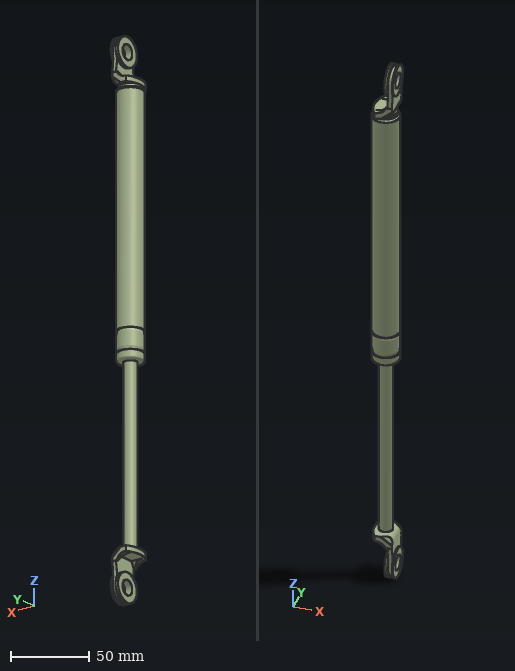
import cadquery as cq
import math

TOTAL_LENGTH = 385.0
EYE_RADIUS = 10.5
BASE_HEIGHT = 34.5

TUBE_RADIUS = 9.2
TUBE_BOTTOM = 163.0
TUBE_TOP = 348.5
TUBE_TOP_CHAMFER = 1.5
TUBE_BOTTOM_FILLET = 1.5
NECK_RADIUS = 7.7
GROOVE_DEPTH = 0.58
GROOVE_WIDTH = 2.5
LOWER_STEP_HEIGHT = 169.0
UPPER_STEP_HEIGHT = 184.0
ROD_RADIUS = 4.5
ROD_SOCKET_DEPTH = 19.2

SHEET = 4.0
PLATE_THICKNESS = 3.0
BASE_WIDTH = 22.0
BASE_BACK_X = -7.7
BASE_CORNER_X = -4.2
BASE_TAPER_X = 0.0
PLATE_OUTER_X = 7.5
PLATE_INNER_X = PLATE_OUTER_X - PLATE_THICKNESS
CHEEK_RADIUS = 8.5
OUTER_BEND_RADIUS = 5.0
NECK_WIDTH = 18.0
SHOULDER_HEIGHT = 26.0
FLARE_WIDTH = 20.0
FLARE_END_HEIGHT = 20.0
POCKET_FLOOR_WIDTH = 14.0
POCKET_TOP_WIDTH = 20.0
POCKET_DEPTH = 5.0
CORNER_CUT_START_X = 0.0
CORNER_CUT_WIDTH = 4.5

HOLE_DIAMETER = 10.5
BUSHING_CORE_RADIUS = 7.0
INNER_FLANGE = 2.0
OUTER_FLANGE = 0.8


def disc_on_plate(radius, start_x, thickness):
    """Disc with its axis along X, centred on the lower eye."""
    return (
        cq.Workplane("YZ", origin=(start_x, 0, EYE_RADIUS))
        .circle(radius)
        .extrude(thickness)
    )


def crimp_groove(step_height, width):
    """Cutter for a groove: a square step at one edge, a cone fading out over the signed width."""
    return (
        cq.Workplane("XZ")
        .moveTo(TUBE_RADIUS - GROOVE_DEPTH, step_height)
        .lineTo(TUBE_RADIUS, step_height)
        .lineTo(TUBE_RADIUS, step_height + width)
        .close()
        .revolve(360, (0, 0, 0), (0, 1, 0))
    )


def make_tube():
    tube = (
        cq.Workplane("XY", origin=(0, 0, TUBE_BOTTOM))
        .circle(TUBE_RADIUS)
        .extrude(TUBE_TOP - TUBE_BOTTOM)
        .faces(">Z").edges().chamfer(TUBE_TOP_CHAMFER)
        .faces("<Z").edges().fillet(TUBE_BOTTOM_FILLET)
    )
    tube = tube.cut(crimp_groove(LOWER_STEP_HEIGHT, GROOVE_WIDTH))
    tube = tube.cut(crimp_groove(UPPER_STEP_HEIGHT, -GROOVE_WIDTH))
    neck = (
        cq.Workplane("XY", origin=(0, 0, TUBE_TOP))
        .circle(NECK_RADIUS)
        .extrude(TOTAL_LENGTH - BASE_HEIGHT - TUBE_TOP)
    )
    socket = (
        cq.Workplane("XY", origin=(0, 0, TUBE_BOTTOM))
        .circle(ROD_RADIUS)
        .extrude(ROD_SOCKET_DEPTH)
    )
    return tube.union(neck).cut(socket)


def make_rod():
    return (
        cq.Workplane("XY", origin=(0, 0, BASE_HEIGHT))
        .circle(ROD_RADIUS)
        .extrude(TUBE_BOTTOM + ROD_SOCKET_DEPTH - BASE_HEIGHT)
    )


def cheek_pocket():
    """Cutter that opens the inside of the bend, leaving a sloping cheek on each side."""
    floor = BASE_HEIGHT - SHEET
    return (
        cq.Workplane("YZ", origin=(BASE_BACK_X, 0, 0))
        .moveTo(-POCKET_FLOOR_WIDTH / 2, floor)
        .lineTo(POCKET_FLOOR_WIDTH / 2, floor)
        .lineTo(POCKET_TOP_WIDTH / 2, floor - POCKET_DEPTH)
        .lineTo(POCKET_TOP_WIDTH / 2, 0)
        .lineTo(-POCKET_TOP_WIDTH / 2, 0)
        .lineTo(-POCKET_TOP_WIDTH / 2, floor - POCKET_DEPTH)
        .close()
        .extrude(PLATE_INNER_X - BASE_BACK_X)
    )


def corner_cut(side):
    """Wedge running at 45 degrees that narrows the outer corner of the bend."""
    along_bend = cq.Plane(
        origin=(CORNER_CUT_START_X, 0, BASE_HEIGHT), xDir=(0, 1, 0), normal=(1, 0, -1)
    )
    depth = (PLATE_OUTER_X - CORNER_CUT_START_X) / math.sqrt(2)
    edge = side * BASE_WIDTH / 2
    return (
        cq.Workplane(along_bend)
        .moveTo(edge, 0)
        .lineTo(edge, depth)
        .lineTo(edge - side * CORNER_CUT_WIDTH, depth)
        .close()
        .extrude(BASE_HEIGHT / 2, both=True)
    )


def make_bracket():
    """Lower bracket: a flat base under the rod, bent down into an eye plate."""
    bent_sheet = (
        cq.Workplane("XZ")
        .moveTo(BASE_BACK_X, BASE_HEIGHT)
        .lineTo(PLATE_OUTER_X, BASE_HEIGHT)
        .lineTo(PLATE_OUTER_X, 0)
        .lineTo(PLATE_INNER_X, 0)
        .lineTo(PLATE_INNER_X, BASE_HEIGHT - SHEET)
        .lineTo(BASE_BACK_X, BASE_HEIGHT - SHEET)
        .close()
        .extrude(BASE_WIDTH / 2, both=True)
    )
    inner_corner = cq.selectors.NearestToPointSelector((PLATE_INNER_X, 0, BASE_HEIGHT - SHEET))
    outer_corner = cq.selectors.NearestToPointSelector((PLATE_OUTER_X, 0, BASE_HEIGHT))
    bent_sheet = bent_sheet.edges(inner_corner).fillet(CHEEK_RADIUS)
    bent_sheet = bent_sheet.edges(outer_corner).fillet(OUTER_BEND_RADIUS)

    base_outline = (
        cq.Workplane("XY")
        .moveTo(BASE_CORNER_X, -BASE_WIDTH / 2)
        .threePointArc((BASE_BACK_X, 0), (BASE_CORNER_X, BASE_WIDTH / 2))
        .lineTo(BASE_TAPER_X, BASE_WIDTH / 2)
        .lineTo(PLATE_OUTER_X, FLARE_WIDTH / 2)
        .lineTo(PLATE_OUTER_X, -FLARE_WIDTH / 2)
        .lineTo(BASE_TAPER_X, -BASE_WIDTH / 2)
        .close()
        .extrude(BASE_HEIGHT)
    )
    plate_outline = (
        cq.Workplane("YZ", origin=(BASE_BACK_X, 0, 0))
        .moveTo(-BASE_WIDTH / 2, BASE_HEIGHT)
        .lineTo(-BASE_WIDTH / 2, SHOULDER_HEIGHT)
        .lineTo(-FLARE_WIDTH / 2, SHOULDER_HEIGHT)
        .lineTo(-NECK_WIDTH / 2, FLARE_END_HEIGHT)
        .lineTo(-NECK_WIDTH / 2, EYE_RADIUS)
        .lineTo(NECK_WIDTH / 2, EYE_RADIUS)
        .lineTo(NECK_WIDTH / 2, FLARE_END_HEIGHT)
        .lineTo(FLARE_WIDTH / 2, SHOULDER_HEIGHT)
        .lineTo(BASE_WIDTH / 2, SHOULDER_HEIGHT)
        .lineTo(BASE_WIDTH / 2, BASE_HEIGHT)
        .close()
        .extrude(PLATE_OUTER_X - BASE_BACK_X)
    )
    eye = disc_on_plate(NECK_WIDTH / 2, PLATE_INNER_X, PLATE_THICKNESS)
    hole = disc_on_plate(BUSHING_CORE_RADIUS, PLATE_INNER_X, PLATE_THICKNESS)
    bracket = bent_sheet.intersect(base_outline).intersect(plate_outline)
    bracket = bracket.cut(cheek_pocket())
    for side in (-1, 1):
        bracket = bracket.cut(corner_cut(side))
    return bracket.union(eye).cut(hole)


def make_bushing():
    """Bushing through the lower eye with a flange on each face of the plate."""
    inner_start = PLATE_INNER_X - INNER_FLANGE
    inner_flange = disc_on_plate(EYE_RADIUS, inner_start, INNER_FLANGE)
    core = disc_on_plate(BUSHING_CORE_RADIUS, PLATE_INNER_X, PLATE_THICKNESS)
    outer_flange = disc_on_plate(EYE_RADIUS, PLATE_OUTER_X, OUTER_FLANGE)
    length = INNER_FLANGE + PLATE_THICKNESS + OUTER_FLANGE
    bore = disc_on_plate(HOLE_DIAMETER / 2, inner_start, length)
    return inner_flange.union(core).union(outer_flange).cut(bore)


def at_both_ends(body):
    """The lower body and its mirror image at the top end."""
    return [body.val(), body.mirror("XY", (0, 0, TOTAL_LENGTH / 2)).val()]


tube = make_tube()
rod = make_rod()
end_bodies = []
for lower_body in (make_bracket(), make_bushing()):
    end_bodies.extend(at_both_ends(lower_body))

result = cq.Compound.makeCompound([tube.val(), rod.val(), *end_bodies])